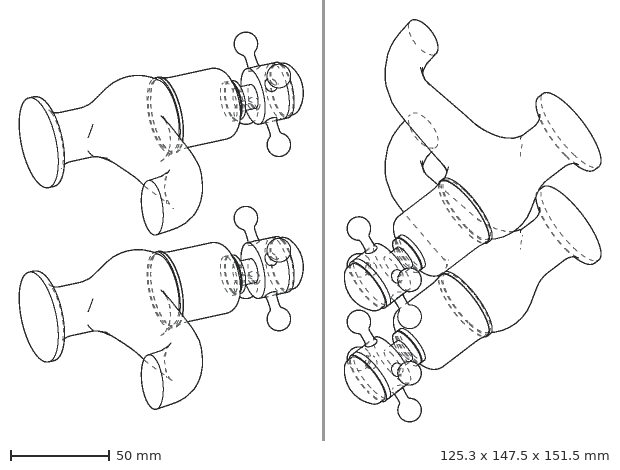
import cadquery as cq
import math

TAP_SPACING = 100.0

FLANGE_R = 23.5
FLANGE_HEIGHT = 4.0
FLANGE_ROUND = 1.0
PILLAR_R = 12.9
FOOT_FLARE_R = 11.0
BULB_R = 23.5
BULB_Y = 56.0
THROAT_ANGLE = math.radians(30)
THROAT_ROUND_R = 19.7
BODY_TOP_Y = 70.5

SPOUT_START_X = 37.7
SPOUT_START_HEIGHT = 23.2
SPOUT_START_WIDTH = 40.5
SPOUT_Y = 48.6
BEND_START_X = 64.9
BEND_R = 24.2
BEND_ANGLE = math.radians(80)
BEND_STEPS = 5
STRAIGHT_STEPS = 4
SPOUT_TAIL = 7.1
SPOUT_END_HEIGHT = 19.5
SPOUT_END_WIDTH = 30.3
SECTION_POINTS = 24

ROOT_BOTTOM_Y = 20.3
ROOT_MIDDLE_Y = 47.0
ROOT_TOP_Y = 67.3
ROOT_NEAREST_X = -1.2
ROOT_INSET = 0.2
BLEND_STEPS = 5
BLEND_ROOT_PULL = 0.5
BLEND_SPOUT_PULL = 0.45

BONNET_R = 18.5
BONNET_RIM_R = 19.9
BONNET_RIM_HEIGHT = 1.8
BONNET_CONE_BASE_R = 19.4
BONNET_CONE_TOP_R = 18.8
BONNET_CONE_HEIGHT = 3.3
BONNET_FLARE_HEIGHT = 3.3
BONNET_HEIGHT = 36.7
BONNET_ROUND = 5.9

GLAND_R = 10.2
GLAND_HEIGHT = 5.2
GLAND_ROUND = 1.0
GLAND_GROOVE_Y = 2.3
GLAND_GROOVE_WIDTH = 0.5
GLAND_GROOVE_DEPTH = 0.2

STEM_R = 6.2
STEM_LENGTH = 8.5
HUB_R = 14.5
HUB_HEIGHT = 13.6
ARM_COUNT = 4
ARM_ANGLE = 45.0
ARM_ABOVE_HUB_BASE = 5.3
ARM_ROOT_R = 3.5
ARM_ROOT_REACH = 14.2
ARM_NECK_R = 2.6
ARM_NECK_REACH = 18.2
ARM_BALL_R = 6.0
ARM_BALL_REACH = 27.9
ARM_BALL_BLEND_ANGLE = math.radians(35)

CAP_RIM_HEIGHT = 2.7
DOME_SIDE_HEIGHT = 2.5
DOME_ROUND = 3.8
CROWN_R = 17.6
CROWN_ANGLE = math.radians(45)

GLAND_Y = BODY_TOP_Y + BONNET_HEIGHT
STEM_Y = GLAND_Y + GLAND_HEIGHT
HUB_Y = STEM_Y + STEM_LENGTH
CAP_Y = HUB_Y + HUB_HEIGHT
ARM_Y = HUB_Y + ARM_ABOVE_HUB_BASE

BULB_TANGENT_R = BULB_R * math.cos(THROAT_ANGLE)
BULB_TANGENT_Y = BULB_Y - BULB_R * math.sin(THROAT_ANGLE)
THROAT_R = PILLAR_R + THROAT_ROUND_R * (1 - math.cos(THROAT_ANGLE))
THROAT_Y = BULB_TANGENT_Y - (BULB_TANGENT_R - THROAT_R) / math.tan(THROAT_ANGLE)
PILLAR_TOP_Y = THROAT_Y - THROAT_ROUND_R * math.sin(THROAT_ANGLE)
FOOT_FLARE_END_R = FLANGE_R - FLANGE_ROUND
FOOT_FLARE_ANGLE = math.acos((PILLAR_R + FOOT_FLARE_R - FOOT_FLARE_END_R) / FOOT_FLARE_R)
PILLAR_BASE_Y = FLANGE_HEIGHT + FOOT_FLARE_R * math.sin(FOOT_FLARE_ANGLE)


def axial_plane(angle):
    """Plane through the Y axis whose local x runs outward, turned by angle degrees from +Z to +X."""
    a = math.radians(angle)
    outward = cq.Vector(math.sin(a), 0, math.cos(a))
    return cq.Plane((0, 0, 0), outward, outward.cross(cq.Vector(0, 1, 0)))


def revolve_about_y(outline):
    return outline.close().revolve(360, (0, 0, 0), (0, 1, 0))


def body_radius(y):
    """Radius of the body above its foot, from the pillar up to the bulb."""
    if y <= PILLAR_TOP_Y:
        return PILLAR_R
    if y <= THROAT_Y:
        return PILLAR_R + THROAT_ROUND_R - math.sqrt(THROAT_ROUND_R**2 - (y - PILLAR_TOP_Y) ** 2)
    if y <= BULB_TANGENT_Y:
        return THROAT_R + (y - THROAT_Y) * math.tan(THROAT_ANGLE)
    return math.sqrt(BULB_R**2 - (y - BULB_Y) ** 2)


def body_normal(point):
    """Outward direction square to the body surface at a point on it."""
    step = 0.02
    slope = (body_radius(point.y + step) - body_radius(point.y - step)) / (2 * step)
    outward = cq.Vector(point.x, 0, point.z).normalized()
    return (outward - cq.Vector(0, slope, 0)).normalized()


def make_pillar():
    flare_middle = (
        PILLAR_R + FOOT_FLARE_R * (1 - math.cos(FOOT_FLARE_ANGLE / 2)),
        PILLAR_BASE_Y - FOOT_FLARE_R * math.sin(FOOT_FLARE_ANGLE / 2),
    )
    throat_middle_y = (PILLAR_TOP_Y + THROAT_Y) / 2
    outline = (
        cq.Workplane(axial_plane(0))
        .lineTo(FLANGE_R, 0)
        .lineTo(FLANGE_R, FLANGE_HEIGHT - FLANGE_ROUND)
        .tangentArcPoint((FOOT_FLARE_END_R, FLANGE_HEIGHT), relative=False)
        .threePointArc(flare_middle, (PILLAR_R, PILLAR_BASE_Y))
        .lineTo(PILLAR_R, PILLAR_TOP_Y)
        .threePointArc((body_radius(throat_middle_y), throat_middle_y), (THROAT_R, THROAT_Y))
        .lineTo(BULB_TANGENT_R, BULB_TANGENT_Y)
        .threePointArc((BULB_R, BULB_Y), (body_radius(BODY_TOP_Y), BODY_TOP_Y))
        .lineTo(0, BODY_TOP_Y)
    )
    return revolve_about_y(outline)


def section_angles():
    """Angles around a spout section, measured from its top and starting at its bottom."""
    return [math.pi + 2 * math.pi * i / SECTION_POINTS for i in range(SECTION_POINTS)]


def closed_wire(points):
    return cq.Wire.assembleEdges([cq.Edge.makeSpline(points, periodic=True)])


def ellipse_points(center_x, center_y, turn, height, width):
    """Points of an elliptical spout section whose axis is turned down from +X by turn."""
    points = []
    for angle in section_angles():
        rise = height / 2 * math.cos(angle)
        x = center_x + rise * math.sin(turn)
        y = center_y + rise * math.cos(turn)
        points.append(cq.Vector(x, y, width / 2 * math.sin(angle)))
    return points


def spout_start_points():
    return ellipse_points(SPOUT_START_X, SPOUT_Y, 0, SPOUT_START_HEIGHT, SPOUT_START_WIDTH)


def spout_wires():
    """Section wires from the start of the spout, round the bend to its outlet."""
    end_x = BEND_START_X + BEND_R * math.sin(BEND_ANGLE) + SPOUT_TAIL * math.cos(BEND_ANGLE)
    end_y = SPOUT_Y - BEND_R * (1 - math.cos(BEND_ANGLE)) - SPOUT_TAIL * math.sin(BEND_ANGLE)

    def section(x, y, turn, height):
        share = (x - SPOUT_START_X) / (end_x - SPOUT_START_X)
        width = SPOUT_START_WIDTH + share * (SPOUT_END_WIDTH - SPOUT_START_WIDTH)
        return closed_wire(ellipse_points(x, y, turn, height, width))

    sections = [closed_wire(spout_start_points())]
    for i in range(1, STRAIGHT_STEPS):
        share = i / STRAIGHT_STEPS
        x = SPOUT_START_X + share * (BEND_START_X - SPOUT_START_X)
        height = SPOUT_START_HEIGHT + share * (SPOUT_END_HEIGHT - SPOUT_START_HEIGHT)
        sections.append(section(x, SPOUT_Y, 0, height))
    for i in range(BEND_STEPS + 1):
        turn = BEND_ANGLE * i / BEND_STEPS
        x = BEND_START_X + BEND_R * math.sin(turn)
        y = SPOUT_Y - BEND_R * (1 - math.cos(turn))
        sections.append(section(x, y, turn, SPOUT_END_HEIGHT))
    sections.append(section(end_x, end_y, BEND_ANGLE, SPOUT_END_HEIGHT))
    return sections


def root_point(angle):
    """Point on the body where the blend starts, at an angle around the root measured from its top."""
    rise = math.cos(angle)
    end_y = ROOT_TOP_Y if rise > 0 else ROOT_BOTTOM_Y
    y = ROOT_MIDDLE_Y + abs(rise) * (end_y - ROOT_MIDDLE_Y)
    x = ROOT_NEAREST_X + rise**2 * (body_radius(end_y) - ROOT_NEAREST_X)
    depth = math.sqrt(max(body_radius(y) ** 2 - x**2, 0))
    return cq.Vector(x, y, math.copysign(depth, math.sin(angle)))


def blend_rail(angle, spout_point):
    """Points of a cubic curve that leaves the body along its surface and meets the spout along +X."""
    start = root_point(angle)
    normal = body_normal(start)
    reach = spout_point - start
    along_body = reach - normal * reach.dot(normal)
    start = start - normal * ROOT_INSET
    first_pull = start + along_body * BLEND_ROOT_PULL
    second_pull = spout_point - cq.Vector(reach.x * BLEND_SPOUT_PULL, 0, 0)
    points = []
    for i in range(BLEND_STEPS + 1):
        t = i / BLEND_STEPS
        s = 1 - t
        points.append(
            start * s**3 + first_pull * (3 * s * s * t) + second_pull * (3 * s * t * t) + spout_point * t**3
        )
    return points


def blend_wires():
    """Section wires from the root on the body to the start of the spout."""
    rails = [blend_rail(a, p) for a, p in zip(section_angles(), spout_start_points())]
    return [closed_wire(list(ring)) for ring in zip(*rails)]


def loft_skin(wires):
    """The curved side of a loft, without its flat ends."""
    return next(f for f in cq.Solid.makeLoft(wires).Faces() if f.geomType() != "PLANE")


def make_spout():
    blend = blend_wires()
    spout = spout_wires()
    root_cap = cq.Face.makeNSidedSurface(blend[0].Edges(), [])
    outlet = cq.Face.makeFromWires(spout[-1])
    shell = cq.Shell.makeShell([root_cap, loft_skin(blend), loft_skin(spout), outlet])
    return cq.Solid.makeSolid(shell).fix()


def make_body():
    return make_pillar().union(cq.Workplane(make_spout()))


def make_bonnet():
    rim_top_y = BODY_TOP_Y + BONNET_RIM_HEIGHT
    cone_top_y = rim_top_y + BONNET_CONE_HEIGHT
    flare_top_y = cone_top_y + BONNET_FLARE_HEIGHT
    outline = (
        cq.Workplane(axial_plane(0))
        .moveTo(0, BODY_TOP_Y)
        .lineTo(BONNET_RIM_R, BODY_TOP_Y)
        .lineTo(BONNET_RIM_R, rim_top_y)
        .lineTo(BONNET_CONE_BASE_R, rim_top_y)
        .lineTo(BONNET_CONE_TOP_R, cone_top_y)
        .tangentArcPoint((BONNET_R, flare_top_y), relative=False)
        .lineTo(BONNET_R, GLAND_Y - BONNET_ROUND)
        .tangentArcPoint((BONNET_R - BONNET_ROUND, GLAND_Y), relative=False)
        .lineTo(0, GLAND_Y)
    )
    return revolve_about_y(outline)


def make_gland():
    groove_y = GLAND_Y + GLAND_GROOVE_Y
    groove_r = GLAND_R - GLAND_GROOVE_DEPTH
    outline = (
        cq.Workplane(axial_plane(0))
        .moveTo(0, GLAND_Y)
        .lineTo(GLAND_R, GLAND_Y)
        .lineTo(GLAND_R, groove_y)
        .lineTo(groove_r, groove_y)
        .lineTo(groove_r, groove_y + GLAND_GROOVE_WIDTH)
        .lineTo(GLAND_R, groove_y + GLAND_GROOVE_WIDTH)
        .lineTo(GLAND_R, STEM_Y - GLAND_ROUND)
        .tangentArcPoint((GLAND_R - GLAND_ROUND, STEM_Y), relative=False)
        .lineTo(0, STEM_Y)
    )
    return revolve_about_y(outline)


def make_arm(angle):
    """Ball-ended arm that starts inside the hub and is turned from +Z to +X by angle degrees."""
    plane = axial_plane(angle)
    plane.origin = cq.Vector(0, ARM_Y, 0)
    ball_edge_r = ARM_BALL_R * math.sin(ARM_BALL_BLEND_ANGLE)
    ball_edge_reach = ARM_BALL_REACH - ARM_BALL_R * math.cos(ARM_BALL_BLEND_ANGLE)
    ball_slope = (math.sin(ARM_BALL_BLEND_ANGLE), math.cos(ARM_BALL_BLEND_ANGLE))
    outline = (
        cq.Workplane(plane)
        .lineTo(0, ARM_ROOT_R)
        .lineTo(ARM_ROOT_REACH, ARM_ROOT_R)
        .spline([(ARM_NECK_REACH, ARM_NECK_R)], tangents=[(1, -1), (1, 0)], includeCurrent=True)
        .spline([(ball_edge_reach, ball_edge_r)], tangents=[(1, 0), ball_slope], includeCurrent=True)
        .threePointArc((ARM_BALL_REACH, ARM_BALL_R), (ARM_BALL_REACH + ARM_BALL_R, 0))
        .close()
    )
    return outline.revolve(360, (0, 0, 0), (1, 0, 0))


def make_handle():
    outline = (
        cq.Workplane(axial_plane(ARM_ANGLE))
        .moveTo(0, STEM_Y)
        .lineTo(STEM_R, STEM_Y)
        .lineTo(STEM_R, HUB_Y)
        .lineTo(HUB_R, HUB_Y)
        .lineTo(HUB_R, CAP_Y)
        .lineTo(0, CAP_Y)
    )
    handle = revolve_about_y(outline)
    for i in range(ARM_COUNT):
        handle = handle.union(make_arm(ARM_ANGLE + i * 360 / ARM_COUNT))
    return handle


def make_cap():
    rim_y = CAP_Y + CAP_RIM_HEIGHT
    round_y = rim_y + DOME_SIDE_HEIGHT
    crown_edge_r = CROWN_R * math.sin(CROWN_ANGLE)
    crown_edge_y = round_y + DOME_ROUND * math.cos(CROWN_ANGLE)
    dome_r = crown_edge_r + DOME_ROUND * (1 - math.sin(CROWN_ANGLE))
    top_y = crown_edge_y + CROWN_R * (1 - math.cos(CROWN_ANGLE))
    outline = (
        cq.Workplane(axial_plane(ARM_ANGLE))
        .moveTo(0, CAP_Y)
        .lineTo(HUB_R, CAP_Y)
        .lineTo(HUB_R, rim_y)
        .lineTo(dome_r, rim_y)
        .lineTo(dome_r, round_y)
        .tangentArcPoint((crown_edge_r, crown_edge_y), relative=False)
        .tangentArcPoint((0, top_y), relative=False)
    )
    return revolve_about_y(outline)


bodies = []
for tap_z in (-TAP_SPACING / 2, TAP_SPACING / 2):
    for make_part in (make_body, make_bonnet, make_gland, make_handle, make_cap):
        part = make_part().translate((0, 0, tap_z))
        bodies.append(part.solids().val())

result = cq.Compound.makeCompound(bodies)